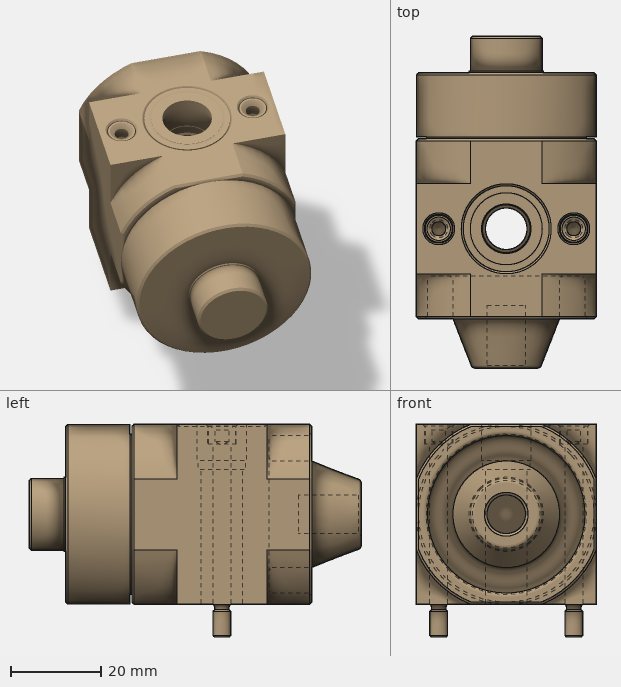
import cadquery as cq
import math


BODY_SIZE = 40.0
HALF_BODY = BODY_SIZE / 2
SQUARE_LENGTH = BODY_SIZE / 2
SHOULDER_DIAMETER = 43.0
EDGE_CHAMFER = 0.5

NECK_DIAMETER = 35.6
NECK_END = HALF_BODY + 0.4
CAP_DIAMETER = BODY_SIZE
CAP_END = 34.7
COLLAR_DIAMETER = 16.5
COLLAR_END = CAP_END + 0.4
BOSS_DIAMETER = 16.0
BOSS_END = 42.8

FRONT_FACE = -HALF_BODY
POCKET_DIAMETER = 35.0
POCKET_FLOOR = FRONT_FACE + 9.5
POCKET_FILLET = 1.0
NOZZLE_DIAMETER = 23.7
NOZZLE_TIP = FRONT_FACE - 11.0
NOZZLE_TIP_DIAMETER = 15.1
NOZZLE_TIP_FILLET = 1.0
PORT_DIAMETER = 8.57
PORT_MOUTH_DIAMETER = 9.73
PORT_DEPTH = 14.0

PASSAGE_DIAMETER = 9.2
COUNTERBORE_DIAMETER = 11.0
COUNTERBORE_DEPTH = 8.0
SEAT_DIAMETER = 10.6
SEAT_DEPTH = 10.0
GROOVE_OUTER_DIAMETER = 20.0
SEAL_FACE_DIAMETER = 19.1
SEAL_FACE_INNER_DIAMETER = 16.0
GROOVE_DEPTH = 0.45
SEAL_FACE_DEPTH = 0.1

SCREW_OFFSET = 15.0
HEAD_DIAMETER = 6.0
HEAD_TOP = HALF_BODY - 0.4
HEAD_BOTTOM = HEAD_TOP - 4.0
HEAD_HOLE_DIAMETER = 6.4
HEAD_HOLE_MOUTH_DIAMETER = 7.1
HEAD_HOLE_MOUTH_DEPTH = 0.4
SOCKET_MOUTH_DIAMETER = 5.2
SOCKET_DIAMETER = 3.1
SOCKET_TAPER_DEPTH = 0.9
SOCKET_BORE_DEPTH = 2.5
DRILL_POINT_ANGLE = 118.0
THREAD_DIAMETER = 4.0
RELIEF_DIAMETER = 3.24
RELIEF_TOP = -HALF_BODY - 0.8
SCREW_END = -27.3
THREAD_LENGTH = 6.1


def disc_y(diameter, start, end):
    """Cylinder on the Y axis between two Y positions."""
    return cq.Workplane("XZ", origin=(0, start, 0)).circle(diameter / 2).extrude(start - end)


def bore_down(diameter, depth, x=0.0):
    """Vertical cylinder going down from the top face."""
    return cq.Workplane("XY", origin=(x, 0, HALF_BODY)).circle(diameter / 2).extrude(-depth)


def tapered_bore_down(top_diameter, bottom_diameter, depth, x=0.0):
    """Vertical cone frustum going down from the top face."""
    cone = cq.Solid.makeCone(
        top_diameter / 2, bottom_diameter / 2, depth, cq.Vector(x, 0, HALF_BODY), cq.Vector(0, 0, -1)
    )
    return cq.Workplane(cone)


def make_block():
    """Square block with both ends trimmed to a round, chamfered shoulder."""
    block = cq.Workplane("XZ").rect(BODY_SIZE, BODY_SIZE).extrude(HALF_BODY, both=True)
    block = block.intersect(disc_y(SHOULDER_DIAMETER, -HALF_BODY, HALF_BODY))
    block = block.faces("<Y or >Y").chamfer(EDGE_CHAMFER)
    return block.union(cq.Workplane("XY").box(BODY_SIZE, SQUARE_LENGTH, BODY_SIZE))


def make_cap():
    """Round rear cap behind a narrow neck, carrying a collar and a boss."""
    neck = disc_y(NECK_DIAMETER, HALF_BODY, NECK_END)
    cap = disc_y(CAP_DIAMETER, NECK_END, CAP_END).faces(">Y").chamfer(EDGE_CHAMFER)
    collar = disc_y(COLLAR_DIAMETER, CAP_END, COLLAR_END)
    boss = disc_y(BOSS_DIAMETER, CAP_END, BOSS_END).faces(">Y").chamfer(EDGE_CHAMFER)
    return neck.union(cap).union(collar).union(boss)


def make_pocket():
    """Annular pocket round the nozzle, with a rounded mouth and rounded floor corners."""
    outer = POCKET_DIAMETER / 2
    inner = NOZZLE_DIAMETER / 2
    fillet = POCKET_FILLET
    inset = fillet * (1 - math.sqrt(0.5))
    profile = (
        cq.Workplane("XY")
        .moveTo(inner, FRONT_FACE)
        .lineTo(inner, POCKET_FLOOR - fillet)
        .threePointArc((inner + inset, POCKET_FLOOR - inset), (inner + fillet, POCKET_FLOOR))
        .lineTo(outer - fillet, POCKET_FLOOR)
        .threePointArc((outer - inset, POCKET_FLOOR - inset), (outer, POCKET_FLOOR - fillet))
        .lineTo(outer, FRONT_FACE + fillet)
        .threePointArc((outer + inset, FRONT_FACE + inset), (outer + fillet, FRONT_FACE))
        .close()
    )
    return profile.revolve(360, (0, 0, 0), (0, 1, 0))


def make_nozzle():
    """Cone standing on the pocket's core, with a rounded tip edge."""
    profile = (
        cq.Workplane("XY")
        .moveTo(0, FRONT_FACE)
        .lineTo(NOZZLE_DIAMETER / 2, FRONT_FACE)
        .lineTo(NOZZLE_TIP_DIAMETER / 2, NOZZLE_TIP)
        .lineTo(0, NOZZLE_TIP)
        .close()
    )
    nozzle = profile.revolve(360, (0, 0, 0), (0, 1, 0))
    return nozzle.faces("<Y").edges().fillet(NOZZLE_TIP_FILLET)


def make_port():
    """Blind bore into the nozzle tip with a 45 degree lead-in."""
    bore_radius = PORT_DIAMETER / 2
    mouth_radius = PORT_MOUTH_DIAMETER / 2
    lead_in = cq.Solid.makeCone(
        mouth_radius, bore_radius, mouth_radius - bore_radius, cq.Vector(0, NOZZLE_TIP, 0), cq.Vector(0, 1, 0)
    )
    return disc_y(PORT_DIAMETER, NOZZLE_TIP, NOZZLE_TIP + PORT_DEPTH).union(cq.Workplane(lead_in))


def make_passage():
    """Stepped through passage along Z."""
    passage = bore_down(PASSAGE_DIAMETER, BODY_SIZE)
    passage = passage.union(bore_down(SEAT_DIAMETER, SEAT_DEPTH))
    return passage.union(bore_down(COUNTERBORE_DIAMETER, COUNTERBORE_DEPTH))


def make_seal_groove():
    """V-shaped ring groove with a flat, barely sunk seal face inside it."""
    notch = tapered_bore_down(GROOVE_OUTER_DIAMETER, SEAL_FACE_DIAMETER, GROOVE_DEPTH)
    notch = notch.cut(bore_down(SEAL_FACE_DIAMETER, GROOVE_DEPTH))
    face = bore_down(SEAL_FACE_DIAMETER, SEAL_FACE_DEPTH)
    face = face.cut(bore_down(SEAL_FACE_INNER_DIAMETER, SEAL_FACE_DEPTH))
    return notch.union(face)


def make_screw_hole(x):
    """Tapered mouth, head counterbore and a through hole for the shank."""
    hole = bore_down(THREAD_DIAMETER, BODY_SIZE, x)
    hole = hole.union(bore_down(HEAD_HOLE_DIAMETER, HALF_BODY - HEAD_BOTTOM, x))
    mouth = tapered_bore_down(HEAD_HOLE_MOUTH_DIAMETER, HEAD_HOLE_DIAMETER, HEAD_HOLE_MOUTH_DEPTH, x)
    return hole.union(mouth)


def make_housing():
    housing = make_block().union(make_cap())
    housing = housing.cut(make_pocket())
    housing = housing.union(make_nozzle())
    housing = housing.cut(make_port())
    housing = housing.cut(make_passage())
    housing = housing.cut(make_seal_groove())
    for x in (-SCREW_OFFSET, SCREW_OFFSET):
        housing = housing.cut(make_screw_hole(x))
    return housing


def make_screw(x):
    """Cylindrical-head screw: tapered drive socket, relieved neck and chamfered thread end."""
    socket = SOCKET_DIAMETER / 2
    taper_end = HEAD_TOP - SOCKET_TAPER_DEPTH
    bore_end = taper_end - SOCKET_BORE_DEPTH
    drill_point = bore_end - socket / math.tan(math.radians(DRILL_POINT_ANGLE / 2))
    shank = THREAD_DIAMETER / 2
    relief = RELIEF_DIAMETER / 2
    slope = shank - relief
    thread_top = SCREW_END + THREAD_LENGTH
    profile = (
        cq.Workplane("XZ")
        .moveTo(0, SCREW_END)
        .lineTo(relief, SCREW_END)
        .lineTo(shank, SCREW_END + slope)
        .lineTo(shank, thread_top - slope)
        .lineTo(relief, thread_top)
        .lineTo(relief, RELIEF_TOP)
        .tangentArcPoint((shank, -HALF_BODY), relative=False)
        .lineTo(shank, HEAD_BOTTOM)
        .lineTo(HEAD_DIAMETER / 2, HEAD_BOTTOM)
        .lineTo(HEAD_DIAMETER / 2, HEAD_TOP)
        .lineTo(SOCKET_MOUTH_DIAMETER / 2, HEAD_TOP)
        .lineTo(socket, taper_end)
        .lineTo(socket, bore_end)
        .lineTo(0, drill_point)
        .close()
    )
    return profile.revolve(360, (0, 0, 0), (0, 1, 0)).translate((x, 0, 0))


housing = make_housing()
screws = [make_screw(x) for x in (-SCREW_OFFSET, SCREW_OFFSET)]

result = cq.Compound.makeCompound([housing.val(), *[screw.val() for screw in screws]])